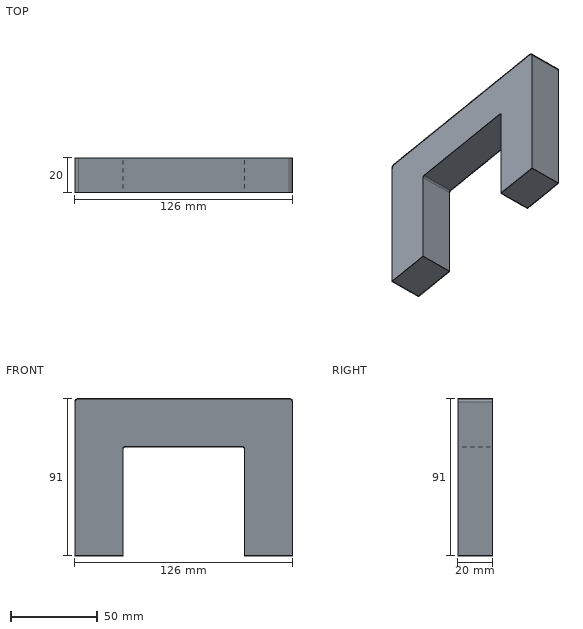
import cadquery as cq

width = 126.0
depth = 20.0
height = 91.0
bar_thickness = 28.0
outer_radius = 2.0
inner_radius = 1.0

opening_width = width - 2 * bar_thickness
opening_height = height - bar_thickness


def upright_block(block_width, block_height, top_radius):
    """Block standing on Z = 0, centred in X and Y, with its two top side edges rounded."""
    block = cq.Workplane("XY").box(block_width, depth, block_height, centered=(True, True, False))
    return block.edges("|Y and >Z").fillet(top_radius)


outer_block = upright_block(width, height, outer_radius)
opening = upright_block(opening_width, opening_height, inner_radius)

result = outer_block.cut(opening)